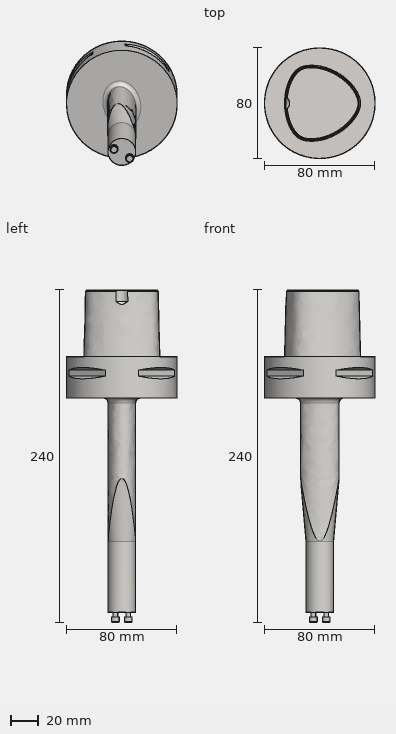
import cadquery as cq
import math

FLANGE_DIAMETER = 80.0
FLANGE_RADIUS = FLANGE_DIAMETER / 2
FLANGE_THICKNESS = 30.0

SHANK_LENGTH = 48.0
SHANK_MEAN_RADIUS = 27.5
SHANK_LOBE = 2.0
SHANK_TAPER = 1 / 40
SHANK_CHAMFER_HEIGHT = 1.2
SHANK_CHAMFER_WIDTH = 0.7
SHANK_OUTLINE_POINTS = 48

KEYWAY_RADIUS = 5.0
KEYWAY_AXIS_X = -26.8
KEYWAY_WALL_DEPTH = 8.2
KEYWAY_TIP_DEPTH = 4.0

SLOT_COUNT = 4
SLOT_START_ANGLE = 45.0
SLOT_Z = -12.0
SLOT_FLOOR_DISTANCE = 35.4
SLOT_FLOOR_HEIGHT = 4.2
SLOT_MOUTH_HEIGHT = 8.2

NECK_HALF_WIDTH_X = 14.0
NECK_HALF_WIDTH_Y = 10.02
NECK_FILLET = 3.4
PLANE_TOLERANCE = 0.01
NOSE_DIAMETER = 20.0
NOSE_RADIUS = NOSE_DIAMETER / 2
CONE_TOP_Z = -88.0
CONE_BOTTOM_Z = -133.4
NOSE_BOTTOM_Z = -184.8

PIN_BOTTOM_Z = -192.01
PIN_OFFSET = 4.65
PIN_SHANK_DIAMETER = 3.5
PIN_HEAD_DIAMETER = 5.7
PIN_HEAD_HEIGHT = 4.0
PIN_HEAD_CHAMFER = 0.5


def lobed_outline(z, mean_radius):
    """Closed three-lobed curve of constant width at height z."""

    def point(index):
        angle = 2 * math.pi * index / SHANK_OUTLINE_POINTS
        x = mean_radius * math.cos(angle)
        x += SHANK_LOBE * (2 * math.cos(2 * angle) - math.cos(4 * angle))
        y = mean_radius * math.sin(angle)
        y -= SHANK_LOBE * (2 * math.sin(2 * angle) + math.sin(4 * angle))
        return cq.Vector(x, y, z)

    points = [point(index) for index in range(SHANK_OUTLINE_POINTS)]
    return cq.Wire.assembleEdges([cq.Edge.makeSpline(points, periodic=True)])


def loft_between(lower, upper):
    return cq.Workplane(cq.Solid.makeLoft([lower, upper], True))


def make_shank():
    chamfer_z = SHANK_LENGTH - SHANK_CHAMFER_HEIGHT
    chamfer_radius = SHANK_MEAN_RADIUS - SHANK_TAPER * chamfer_z
    base = lobed_outline(0, SHANK_MEAN_RADIUS)
    shoulder = lobed_outline(chamfer_z, chamfer_radius)
    tip = lobed_outline(SHANK_LENGTH, chamfer_radius - SHANK_CHAMFER_WIDTH)
    return loft_between(base, shoulder).union(loft_between(shoulder, tip))


def make_keyway_cutter():
    wall_bottom_z = SHANK_LENGTH - KEYWAY_WALL_DEPTH
    profile = (
        cq.Workplane("XZ")
        .moveTo(0, wall_bottom_z - KEYWAY_TIP_DEPTH)
        .lineTo(KEYWAY_RADIUS, wall_bottom_z)
        .lineTo(KEYWAY_RADIUS, SHANK_LENGTH)
        .lineTo(0, SHANK_LENGTH)
        .close()
    )
    return profile.revolve(360, (0, 0, 0), (0, 1, 0)).translate((KEYWAY_AXIS_X, 0, 0))


def make_slot_cutter(angle):
    """Flat-floored slot, widening from the floor to the flange rim."""
    half_floor = SLOT_FLOOR_HEIGHT / 2
    half_mouth = SLOT_MOUTH_HEIGHT / 2
    cutter = (
        cq.Workplane("XZ")
        .moveTo(SLOT_FLOOR_DISTANCE, SLOT_Z - half_floor)
        .lineTo(FLANGE_RADIUS, SLOT_Z - half_mouth)
        .lineTo(FLANGE_RADIUS, SLOT_Z + half_mouth)
        .lineTo(SLOT_FLOOR_DISTANCE, SLOT_Z + half_floor)
        .close()
        .extrude(FLANGE_RADIUS, both=True)
    )
    return cutter.rotate((0, 0, 0), (0, 0, 1), angle)


def make_flange():
    flange = cq.Workplane("XY").circle(FLANGE_RADIUS).extrude(-FLANGE_THICKNESS)
    for index in range(SLOT_COUNT):
        angle = SLOT_START_ANGLE + index * 360 / SLOT_COUNT
        flange = flange.cut(make_slot_cutter(angle))
    return flange


def make_neck():
    """Oval bar limited by a round envelope that tapers to the nose radius."""
    oval = (
        cq.Workplane("XY")
        .workplane(offset=-FLANGE_THICKNESS)
        .ellipse(NECK_HALF_WIDTH_X, NECK_HALF_WIDTH_Y)
        .extrude(CONE_BOTTOM_Z + FLANGE_THICKNESS)
    )
    envelope = (
        cq.Workplane("XZ")
        .moveTo(0, -FLANGE_THICKNESS)
        .lineTo(FLANGE_RADIUS, -FLANGE_THICKNESS)
        .lineTo(FLANGE_RADIUS, CONE_TOP_Z)
        .lineTo(NECK_HALF_WIDTH_X, CONE_TOP_Z)
        .lineTo(NOSE_RADIUS, CONE_BOTTOM_Z)
        .lineTo(0, CONE_BOTTOM_Z)
        .close()
        .revolve(360, (0, 0, 0), (0, 1, 0))
    )
    return oval.intersect(envelope)


def make_nose():
    return (
        cq.Workplane("XY")
        .workplane(offset=NOSE_BOTTOM_Z)
        .circle(NOSE_RADIUS)
        .extrude(CONE_BOTTOM_Z - NOSE_BOTTOM_Z)
    )


def make_pin(x, y):
    head = (
        cq.Workplane("XY")
        .workplane(offset=PIN_BOTTOM_Z)
        .circle(PIN_HEAD_DIAMETER / 2)
        .extrude(PIN_HEAD_HEIGHT)
        .faces("<Z")
        .chamfer(PIN_HEAD_CHAMFER)
    )
    shank = (
        cq.Workplane("XY")
        .workplane(offset=PIN_BOTTOM_Z)
        .circle(PIN_SHANK_DIAMETER / 2)
        .extrude(NOSE_BOTTOM_Z - PIN_BOTTOM_Z)
    )
    return head.union(shank).translate((x, y, 0))


def fillet_neck_root(body):
    """Round the inner corner where the oval neck meets the flange underside."""
    root_edges = [
        edge for edge in body.edges("%ELLIPSE").vals()
        if math.isclose(edge.Center().z, -FLANGE_THICKNESS, abs_tol=PLANE_TOLERANCE)
    ]
    return body.newObject(root_edges).fillet(NECK_FILLET)


result = fillet_neck_root(make_flange().union(make_neck()))
result = result.union(make_nose())
result = result.union(make_shank().cut(make_keyway_cutter()))
for side in (-1, 1):
    result = result.union(make_pin(side * PIN_OFFSET, -side * PIN_OFFSET))